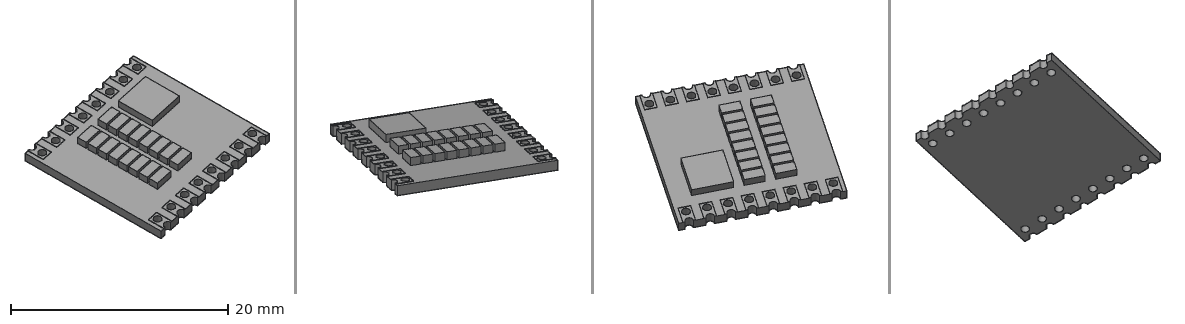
import cadquery as cq

board_size = 16.0
board_thickness = 1.0
half_board = board_size / 2

pad_count = 8
pad_pitch = 2.0
pad_length = 1.8
pad_width = 1.2
pad_thickness = 0.05
hole_diameter = 0.8
hole_inset = 1.2

component_height = 0.8
component_inset = 3.0
chip_size = 4.0
chip_top_inset = 2.0
block_length = 1.0
block_width = 2.0
block_pitch = 1.2
blocks_per_row = 8
row_pitch = 3.0
row_count = 2
chip_to_row_gap = 1.0

pad_rows = [(i - (pad_count - 1) / 2) * pad_pitch for i in range(pad_count)]


def box_on_board(x_left, y_top, length, width, height):
    """Box standing on the top face, located by its -X, +Y corner."""
    return (
        cq.Workplane("XY", origin=(x_left, y_top - width, board_thickness))
        .box(length, width, height, centered=False)
    )


def make_board():
    return cq.Workplane("XY").box(
        board_size, board_size, board_thickness, centered=(True, True, False)
    )


def add_pads(body):
    """Thin pads reaching inward from the -X and +X edges."""
    for y in pad_rows:
        for x_left in (-half_board, half_board - pad_length):
            pad = box_on_board(x_left, y + pad_width / 2, pad_length, pad_width, pad_thickness)
            body = body.union(pad)
    return body


def cut_pad_holes(body):
    """Through hole and half-round edge notch at every pad."""
    hole_columns = [
        -half_board,
        -half_board + hole_inset,
        half_board - hole_inset,
        half_board,
    ]
    centers = [(x, y) for x in hole_columns for y in pad_rows]
    cutters = (
        cq.Workplane("XY")
        .pushPoints(centers)
        .circle(hole_diameter / 2)
        .extrude(board_thickness + pad_thickness)
    )
    return body.cut(cutters)


def add_components(body):
    """Square chip and two rows of small blocks."""
    x_left = -half_board + component_inset
    chip_top = half_board - chip_top_inset
    body = body.union(box_on_board(x_left, chip_top, chip_size, chip_size, component_height))

    first_row_top = chip_top - chip_size - chip_to_row_gap
    for row in range(row_count):
        y_top = first_row_top - row * row_pitch
        for column in range(blocks_per_row):
            x_block = x_left + column * block_pitch
            block = box_on_board(x_block, y_top, block_length, block_width, component_height)
            body = body.union(block)
    return body


result = add_components(cut_pad_holes(add_pads(make_board())))